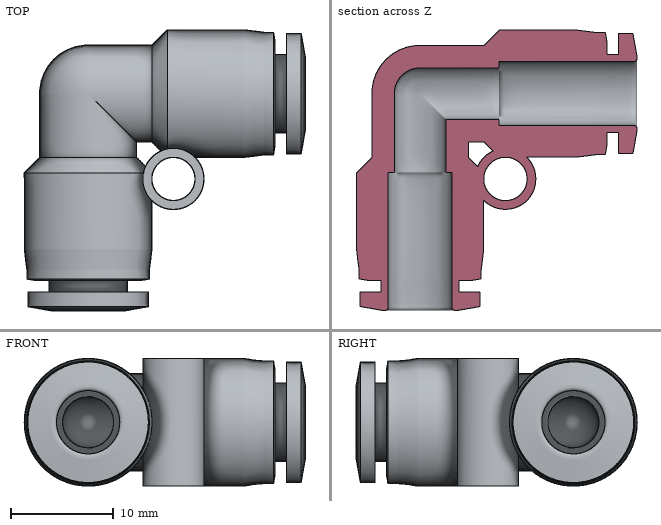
import cadquery as cq


ELBOW_RADIUS = 4.75
FLOW_RADIUS = 2.5

BODY_RADIUS = 6.25
SHOULDER_START = 6.25
SHOULDER_END = SHOULDER_START + BODY_RADIUS - ELBOW_RADIUS
TAPER_START = 15.25
TAPER_END = 17.25
RIM_RADIUS = 6.0
RIM_END = 18.15
BODY_END = 18.3
BODY_FACE_RADIUS = 5.1

NECK_RADIUS = 3.85
FLANGE_RADIUS = 5.9
FLANGE_START = 19.4
FLANGE_FACE_START = 20.85
PORT_END = 21.25
LIP_RADIUS = 3.65

SOCKET_RADIUS = 3.1
SOCKET_FLOOR = SHOULDER_END
SOCKET_FILLET = 0.35

EYELET_RADIUS = 3.0
EYELET_HOLE_RADIUS = 2.1
EYELET_HEIGHT = 2 * BODY_RADIUS
EYELET_OFFSET = BODY_RADIUS + EYELET_HOLE_RADIUS


def revolve_about_x(profile):
    """Close a half profile drawn above the X axis and revolve it about that axis."""
    return profile.close().revolve(360, (0, 0, 0), (1, 0, 0))


def make_port():
    """Outside of one port along +X, starting at the elbow centre."""
    profile = (
        cq.Workplane("XY")
        .lineTo(0, ELBOW_RADIUS)
        .lineTo(SHOULDER_START, ELBOW_RADIUS)
        .lineTo(SHOULDER_END, BODY_RADIUS)
        .lineTo(TAPER_START, BODY_RADIUS)
        .lineTo(TAPER_END, RIM_RADIUS)
        .lineTo(RIM_END, RIM_RADIUS)
        .lineTo(BODY_END, BODY_FACE_RADIUS)
        .lineTo(BODY_END, NECK_RADIUS)
        .lineTo(FLANGE_START, NECK_RADIUS)
        .lineTo(FLANGE_START, FLANGE_RADIUS)
        .lineTo(FLANGE_FACE_START, FLANGE_RADIUS)
        .lineTo(PORT_END, LIP_RADIUS)
        .lineTo(PORT_END, 0)
    )
    return revolve_about_x(profile)


def make_passage():
    """Inside of one port along +X: flow bore, tube socket and rounded mouth."""
    profile = (
        cq.Workplane("XY")
        .lineTo(0, FLOW_RADIUS)
        .lineTo(SOCKET_FLOOR, FLOW_RADIUS)
        .lineTo(SOCKET_FLOOR, SOCKET_RADIUS)
        .lineTo(PORT_END - SOCKET_FILLET, SOCKET_RADIUS)
        .radiusArc((PORT_END, SOCKET_RADIUS + SOCKET_FILLET), -SOCKET_FILLET)
        .lineTo(PORT_END, 0)
    )
    return revolve_about_x(profile)


def join_both_ways(branch, corner_radius):
    """Join a branch along +X, its copy along -Y and a ball that rounds the corner."""
    turned = branch.rotate((0, 0, 0), (0, 0, 1), -90)
    ball = cq.Workplane("XY").sphere(corner_radius)
    return branch.union(turned).union(ball)


def make_eyelet_cylinder(radius):
    """Upright cylinder on the eyelet axis, centred on the port plane."""
    return (
        cq.Workplane("XY")
        .center(EYELET_OFFSET, -EYELET_OFFSET)
        .circle(radius)
        .extrude(EYELET_HEIGHT / 2, both=True)
    )


outside = join_both_ways(make_port(), ELBOW_RADIUS)
passage = join_both_ways(make_passage(), FLOW_RADIUS)
eyelet = make_eyelet_cylinder(EYELET_RADIUS)
eyelet_hole = make_eyelet_cylinder(EYELET_HOLE_RADIUS)

result = outside.union(eyelet).cut(eyelet_hole).cut(passage)